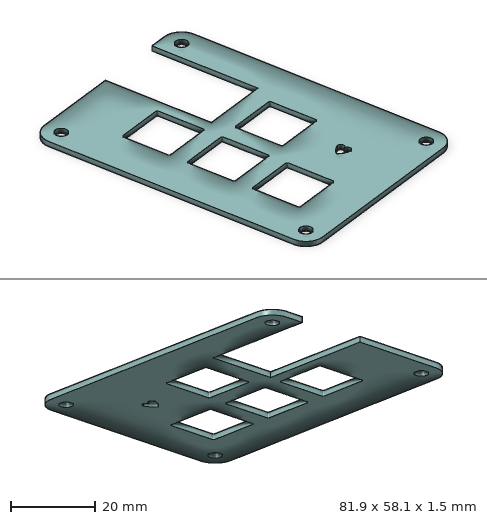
import cadquery as cq

length = 81.9
width = 58.1
thickness = 1.5
corner_radius = 5.0

hole_diameter = 3.4
hole_spacing_x = length - 2 * corner_radius
hole_spacing_y = width - 2 * corner_radius

notch_depth = 31.1
notch_top = 19.0
notch_bottom = 0.4

key_size = 14.0
key_corner_radius = 0.5
key_pitch = 19.1
middle_key_x = 2.8
lower_row_y = -10.0
upper_row_y = lower_row_y + key_pitch
key_centers = [(middle_key_x + column * key_pitch, lower_row_y) for column in (-1, 0, 1)]
key_centers.append((middle_key_x, upper_row_y))

heart_x = 22.1
heart_y = 10.1
lobe_radius = 1.0
heart_drop = 2.95
flank_x = 1.4
flank_drop = 1.5


def make_plate():
    plate = cq.Workplane("XY").box(length, width, thickness, centered=(True, True, False))
    return plate.edges("|Z").fillet(corner_radius)


def make_mounting_holes():
    return (
        cq.Workplane("XY")
        .rect(hole_spacing_x, hole_spacing_y, forConstruction=True)
        .vertices()
        .circle(hole_diameter / 2)
        .extrude(thickness)
    )


def make_notch():
    return (
        cq.Workplane("XY")
        .center(-length / 2 + notch_depth / 2, (notch_top + notch_bottom) / 2)
        .rect(notch_depth, notch_top - notch_bottom)
        .extrude(thickness)
    )


def make_key_openings():
    return (
        cq.Workplane("XY")
        .pushPoints(key_centers)
        .rect(key_size, key_size)
        .extrude(thickness)
        .edges("|Z")
        .fillet(key_corner_radius)
    )


def make_heart():
    return (
        cq.Workplane("XY")
        .center(heart_x, heart_y)
        .moveTo(0, 0)
        .threePointArc((lobe_radius, lobe_radius), (2 * lobe_radius, 0))
        .threePointArc((flank_x, -flank_drop), (0, -heart_drop))
        .threePointArc((-flank_x, -flank_drop), (-2 * lobe_radius, 0))
        .threePointArc((-lobe_radius, lobe_radius), (0, 0))
        .close()
        .extrude(thickness)
    )


result = (
    make_plate()
    .cut(make_mounting_holes())
    .cut(make_notch())
    .cut(make_key_openings())
    .cut(make_heart())
)